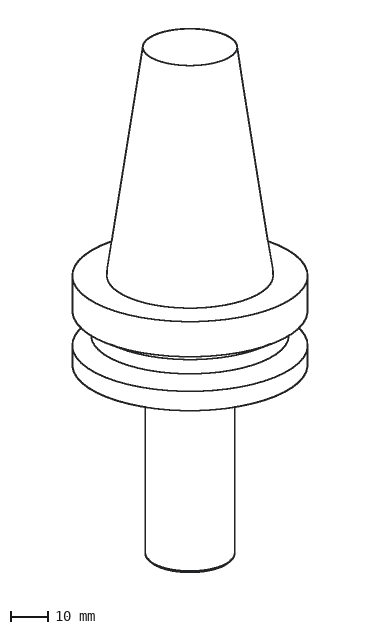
import cadquery as cq

total_length = 147.9
flange_diameter = 63.0
groove_diameter = 53.0
gauge_diameter = 44.5
taper_top_diameter = 25.3
neck_top_diameter = 33.4
shank_diameter = 24.0

taper_length = 65.4
collar_length = 1.0
upper_flange_length = 10.2
groove_flank_length = 3.0
groove_floor_length = 4.1
lower_flange_length = 5.6
neck_length = 4.7
end_chamfer = 0.7

gauge_z = total_length - taper_length
flange_top_z = gauge_z - collar_length
upper_flange_bottom_z = flange_top_z - upper_flange_length
groove_top_z = upper_flange_bottom_z - groove_flank_length
groove_bottom_z = groove_top_z - groove_floor_length
lower_flange_top_z = groove_bottom_z - groove_flank_length
flange_bottom_z = lower_flange_top_z - lower_flange_length
shank_top_z = flange_bottom_z - neck_length

section = [
    (0, 0),
    (shank_diameter - 2 * end_chamfer, 0),
    (shank_diameter, end_chamfer),
    (shank_diameter, shank_top_z),
    (neck_top_diameter, flange_bottom_z),
    (flange_diameter, flange_bottom_z),
    (flange_diameter, lower_flange_top_z),
    (groove_diameter, groove_bottom_z),
    (groove_diameter, groove_top_z),
    (flange_diameter, upper_flange_bottom_z),
    (flange_diameter, flange_top_z),
    (gauge_diameter, flange_top_z),
    (gauge_diameter, gauge_z),
    (taper_top_diameter, total_length),
    (0, total_length),
]

result = (
    cq.Workplane("XZ")
    .polyline([(diameter / 2, z) for diameter, z in section])
    .close()
    .revolve(360, (0, 0, 0), (0, 1, 0))
)